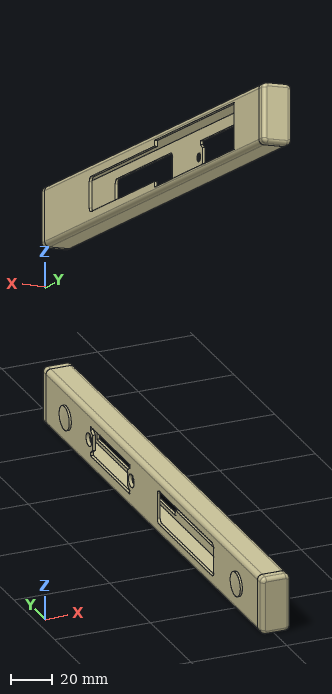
import cadquery as cq
import math

total_length = 270.0
depth = 15.0
height = 30.0
edge_radius = 2.5
wall = 1.5

cap_length = 5.0
cap_end_radius = 2.0

button_spacing = 210.0
button_diameter = 12.5
button_rim = 1.0
button_dome = 0.5

latch_y = 51.3
latch_length = 48.0
latch_height = 15.5
screw_spacing = 52.0
screw_diameter = 4.0
countersink_diameter = 6.8
tab_reach = 2.5
tab_root_height = 12.0
tab_tip_height = 8.0

bolt_y = -41.3
bolt_length = 69.0
bolt_height = 17.3
bolt_corner_radius = 2.2

window_length = 96.0
window_height = 23.0

bar_length = total_length - 2 * cap_length
screw_ys = [latch_y + side * screw_spacing / 2 for side in (-1, 1)]


def face_plane(y):
    """Sketch plane on the outer face: local x is +Y, local y is +Z, normal is +X into the bar."""
    return cq.Workplane(cq.Plane(origin=(0, y, 0), xDir=(0, 1, 0), normal=(1, 0, 0)))


def section_block(length, y_center):
    """Length of the solid outer section, with its four long edges rounded."""
    block = cq.Workplane("XY").box(depth, length, height)
    return block.edges("|Y").fillet(edge_radius).translate((depth / 2, y_center, 0))


def make_tube():
    """Hollow rectangular tube, open at both ends."""
    cavity = cq.Workplane("XY").box(depth - 2 * wall, bar_length, height - 2 * wall)
    return section_block(bar_length, 0).cut(cavity.translate((depth / 2, 0, 0)))


def make_latch_cutter():
    """Front wall opening that leaves a tapered tab standing in at each end."""
    half_length = latch_length / 2
    cutter = face_plane(latch_y).rect(latch_length, latch_height).extrude(depth / 2)
    for side in (-1, 1):
        root = side * half_length
        tip = side * (half_length - tab_reach)
        tab = (
            face_plane(latch_y)
            .moveTo(root, -tab_root_height / 2)
            .lineTo(tip, -tab_tip_height / 2)
            .lineTo(tip, tab_tip_height / 2)
            .lineTo(root, tab_root_height / 2)
            .close()
            .extrude(depth / 2)
        )
        cutter = cutter.cut(tab)
    return cutter


def make_bolt_cutter():
    """Opening through both walls, with rounded corners."""
    cutter = face_plane(bolt_y).rect(bolt_length, bolt_height).extrude(depth)
    return cutter.edges("|X").fillet(bolt_corner_radius)


def make_back_cutter():
    """Window behind the latch opening and the passage joining it to the bolt opening."""
    window = (
        face_plane(latch_y)
        .workplane(offset=depth / 2)
        .rect(window_length, window_height)
        .extrude(depth / 2)
    )
    passage_length = latch_y - bolt_y
    passage = (
        face_plane((latch_y + bolt_y) / 2)
        .workplane(offset=depth / 2)
        .rect(passage_length, bolt_height)
        .extrude(depth / 2)
    )
    return window.union(passage)


def make_screw_cutter(y):
    """Screw hole through the front wall, with a 90 degree countersink from the outer face."""
    hole = face_plane(y).circle(screw_diameter / 2).extrude(depth / 2)
    sink = cq.Solid.makeCone(
        countersink_diameter / 2,
        screw_diameter / 2,
        (countersink_diameter - screw_diameter) / 2,
        pnt=cq.Vector(0, y, 0),
        dir=cq.Vector(1, 0, 0),
    )
    return hole.union(cq.Workplane(sink))


def make_bar():
    """Tube with its front and back openings and the countersunk screw holes."""
    bar = make_tube().cut(make_latch_cutter()).cut(make_bolt_cutter()).cut(make_back_cutter())
    for y in screw_ys:
        bar = bar.cut(make_screw_cutter(y))
    return bar


def make_cap(side):
    """End cap flush with the bar, its outer rim rounded; side is -1 or 1 along Y."""
    cap = section_block(cap_length, side * (total_length - cap_length) / 2)
    return cap.faces(">Y" if side > 0 else "<Y").edges().fillet(cap_end_radius)


def make_button(y):
    """Round button resting on the outer face: a short rim topped by a shallow spherical dome."""
    radius = button_diameter / 2
    sphere_radius = (radius**2 + button_dome**2) / (2 * button_dome)
    half_angle = math.asin(radius / sphere_radius) / 2
    apex = button_rim + button_dome
    arc_middle = (
        sphere_radius * math.sin(half_angle),
        apex - sphere_radius * (1 - math.cos(half_angle)),
    )
    profile_plane = cq.Plane(origin=(0, y, 0), xDir=(0, 1, 0), normal=(0, 0, 1))
    return (
        cq.Workplane(profile_plane)
        .lineTo(radius, 0)
        .lineTo(radius, button_rim)
        .threePointArc(arc_middle, (0, apex))
        .close()
        .revolve(360, (0, 0), (0, 1))
    )


bar = make_bar()
caps = [make_cap(side) for side in (-1, 1)]
buttons = [make_button(side * button_spacing / 2) for side in (-1, 1)]

result = cq.Compound.makeCompound(
    [bar.val(), *[cap.val() for cap in caps], *[button.val() for button in buttons]]
)